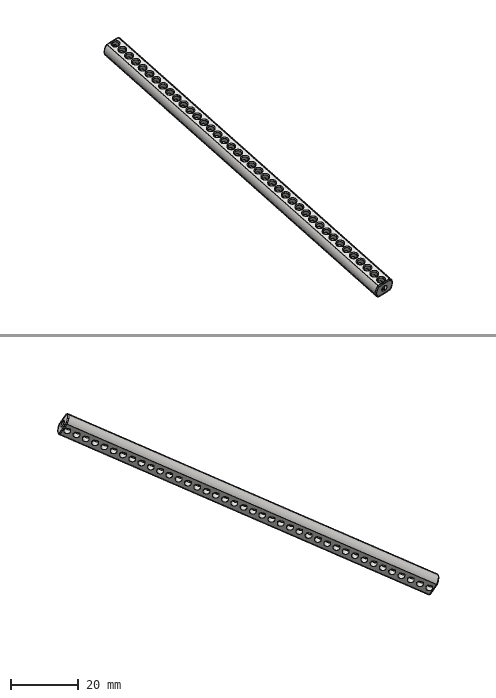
import cadquery as cq

length = 125.0
rod_diameter = 6.6
flat_height = 5.0
end_chamfer = 0.31

bore_diameter = 2.0

hole_count = 40
hole_pitch = length / hole_count
hole_diameter = 2.0
countersink_diameter = 2.6
countersink_angle = 90.0


def cylinder_along_x(diameter):
    """Full-length cylinder on the X axis, centred on the origin."""
    return cq.Workplane("YZ").circle(diameter / 2).extrude(length / 2, both=True)


def flatted_rod():
    """Round rod with flats at top and bottom, chamfered at both ends."""
    slab = cq.Workplane("XY").box(length, rod_diameter, flat_height)
    rod = cylinder_along_x(rod_diameter).intersect(slab)
    return rod.faces("<X or >X").chamfer(end_chamfer)


def drill_row(body):
    """Drill evenly spaced through holes, countersunk in the top flat."""
    return (
        body.faces(">Z")
        .workplane(origin=(0, 0, 0))
        .rarray(hole_pitch, 1.2, hole_count, 1)
        .cskHole(hole_diameter, countersink_diameter, countersink_angle)
    )


bored_rod = flatted_rod().cut(cylinder_along_x(bore_diameter))
result = drill_row(bored_rod)